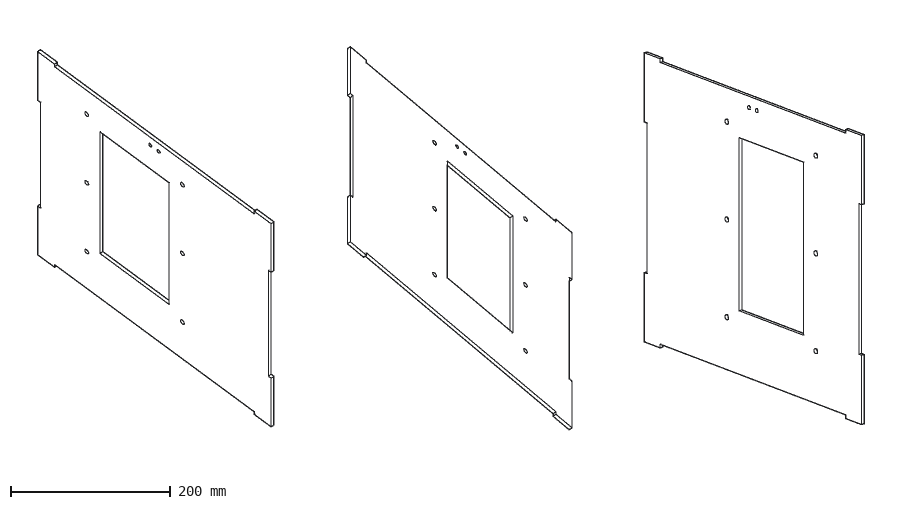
import cadquery as cq

width = 410.0
height = 384.5
thickness = 5.0

recess_depth = thickness
corner_tab_width = 30.0
side_recess_length = 200.0
top_recess_length = width - 2 * corner_tab_width

window_width = 121.0
window_height = 230.0
window_x = -35.0
window_z = 12.5
mount_hole_diameter = 6.5
mount_column_spacing = 168.0
mount_row_spacing = 130.0

small_hole_diameter = 5.0
small_hole_spacing = 14.8
small_hole_z = 172.0


def block(size_x, size_z, x=0, z=0):
    """Block of plate thickness, centred on (x, z)."""
    return cq.Workplane("XY").box(size_x, thickness, size_z).translate((x, 0, z))


def hole_pins(diameter, points):
    """Cylinders through the plate thickness at the given (x, z) points."""
    return (
        cq.Workplane("XZ")
        .pushPoints(points)
        .circle(diameter / 2)
        .extrude(thickness, both=True)
    )


plate = block(width, height)

for side in (-1, 1):
    plate = plate.cut(block(2 * recess_depth, side_recess_length, x=side * width / 2))
    plate = plate.cut(block(top_recess_length, 2 * recess_depth, z=side * height / 2))

plate = plate.cut(block(window_width, window_height, window_x, window_z))

mount_points = [
    (window_x + column * mount_column_spacing / 2, window_z + row * mount_row_spacing)
    for column in (-1, 1)
    for row in (-1, 0, 1)
]
plate = plate.cut(hole_pins(mount_hole_diameter, mount_points))

small_points = [(side * small_hole_spacing / 2, small_hole_z) for side in (-1, 1)]
plate = plate.cut(hole_pins(small_hole_diameter, small_points))

result = plate